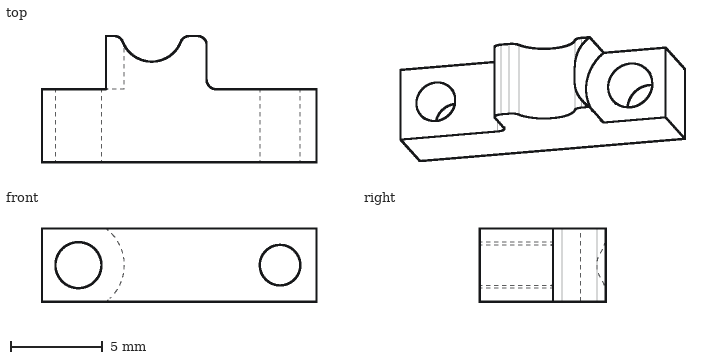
import cadquery as cq
import math

bar_length = 15.0
bar_depth = 4.0
height = 4.0

hole_inset = 2.0
left_hole_x = hole_inset
right_hole_x = bar_length - hole_inset
left_hole_diameter = 2.5
right_hole_diameter = 2.2
hole_z = height / 2

tab_left = 3.5
tab_right = 9.0
tab_top = 6.9
fillet_radius = 0.5

notch_x = 6.0
notch_radius = 1.7
notch_bottom = 5.5
notch_y = notch_bottom + notch_radius

clearance_radius = math.hypot(tab_left - left_hole_x, height / 2)


def point_on_circle(center_x, center_y, radius, angle):
    return (center_x + radius * math.cos(angle), center_y + radius * math.sin(angle))


def make_body():
    """Bar and tab in one outline, extruded over the full height."""
    lip_y = tab_top - fillet_radius
    lip_angle = math.asin((notch_y - lip_y) / (notch_radius + fillet_radius))
    lip_offset = (notch_radius + fillet_radius) * math.cos(lip_angle)
    left_lip_x = notch_x - lip_offset
    right_lip_x = notch_x + lip_offset
    lip_mid_angle = (lip_angle + math.pi / 2) / 2

    left_tangent = point_on_circle(left_lip_x, lip_y, fillet_radius, lip_angle)
    left_lip_mid = point_on_circle(left_lip_x, lip_y, fillet_radius, lip_mid_angle)
    right_tangent = point_on_circle(right_lip_x, lip_y, fillet_radius, math.pi - lip_angle)
    right_lip_mid = point_on_circle(right_lip_x, lip_y, fillet_radius, math.pi - lip_mid_angle)

    corner_x = tab_right - fillet_radius
    corner_mid = point_on_circle(corner_x, lip_y, fillet_radius, math.pi / 4)
    root_x = tab_right + fillet_radius
    root_y = bar_depth + fillet_radius
    root_mid = point_on_circle(root_x, root_y, fillet_radius, -3 * math.pi / 4)

    return (
        cq.Workplane("XY")
        .moveTo(0, 0)
        .lineTo(0, bar_depth)
        .lineTo(tab_left, bar_depth)
        .lineTo(tab_left, tab_top)
        .lineTo(left_lip_x, tab_top)
        .threePointArc(left_lip_mid, left_tangent)
        .threePointArc((notch_x, notch_bottom), right_tangent)
        .threePointArc(right_lip_mid, (right_lip_x, tab_top))
        .lineTo(corner_x, tab_top)
        .threePointArc(corner_mid, (tab_right, lip_y))
        .lineTo(tab_right, root_y)
        .threePointArc(root_mid, (root_x, bar_depth))
        .lineTo(bar_length, bar_depth)
        .lineTo(bar_length, 0)
        .close()
        .extrude(height)
    )


def cylinder_along_y(x, radius, y_start, y_end):
    """Cylinder along +Y at mid height."""
    axis_start = cq.Vector(x, y_start, hole_z)
    axis_direction = cq.Vector(0, 1, 0)
    return cq.Workplane(cq.Solid.makeCylinder(radius, y_end - y_start, axis_start, axis_direction))


left_hole = cylinder_along_y(left_hole_x, left_hole_diameter / 2, 0, bar_depth)
right_hole = cylinder_along_y(right_hole_x, right_hole_diameter / 2, 0, bar_depth)
head_clearance = cylinder_along_y(left_hole_x, clearance_radius, bar_depth, tab_top)

result = make_body().cut(left_hole).cut(right_hole).cut(head_clearance)